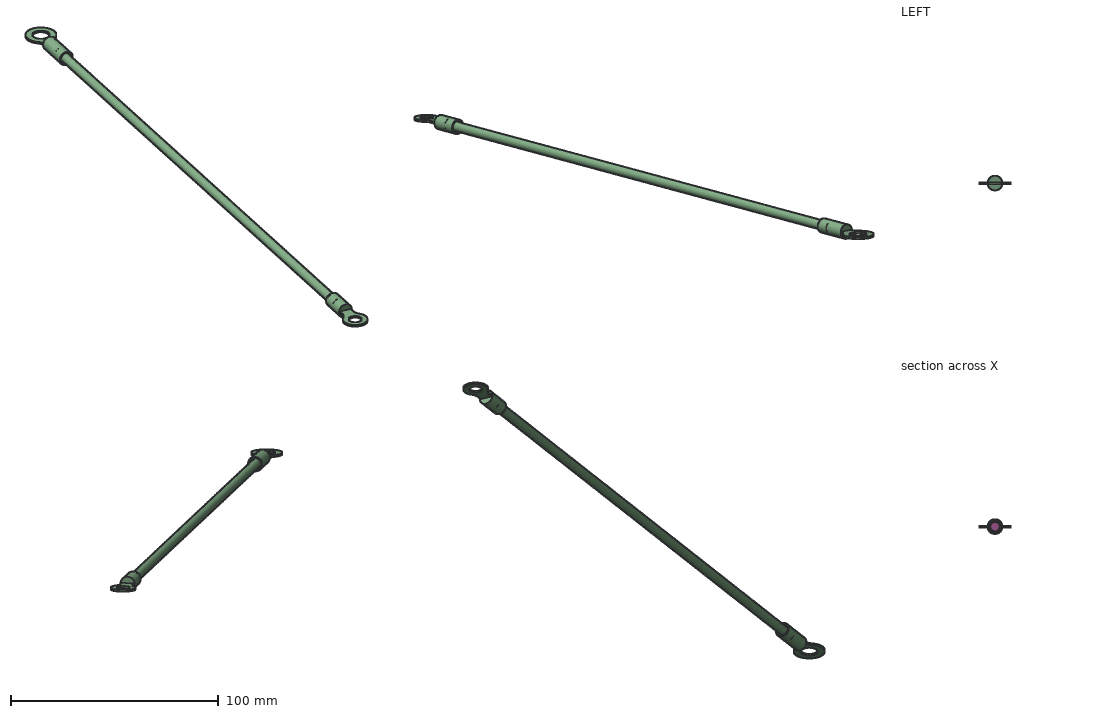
import cadquery as cq
import math

overall_length = 341.8
wire_diameter = 4.7

barrel_diameter = 7.2
bore_diameter = 6.0
bore_depth = 6.0
tongue_thickness = 1.0
neck_width = 6.0
neck_fillet = 4.5
neck_overlap = 2.0

large_ring_diameter = 15.0
large_hole_diameter = 8.4
large_tongue_length = 16.5
large_barrel_length = 17.5

small_ring_diameter = 12.0
small_hole_diameter = 6.4
small_tongue_length = 16.2
small_barrel_length = 13.4

left_end = -overall_length / 2
right_end = overall_length / 2
wire_start = left_end + large_tongue_length + large_barrel_length - bore_depth
wire_end = right_end - small_tongue_length - small_barrel_length + bore_depth


def rod(diameter, start, length):
    """Round rod along +X from the given X position."""
    return cq.Workplane("YZ", origin=(start, 0, 0)).circle(diameter / 2).extrude(length)


def tongue_plane(x):
    """Workplane on the underside of the flat tongue, centered at the given X position."""
    return cq.Workplane("XY", origin=(x, 0, -tongue_thickness / 2))


def ring_tongue(ring_diameter, hole_diameter, length):
    """Flat ring with its tip at X = 0 and a filleted neck reaching toward +X."""
    ring_radius = ring_diameter / 2
    neck_length = length - ring_radius
    neck_center = ring_radius + neck_length / 2
    ring = tongue_plane(ring_radius).circle(ring_radius).extrude(tongue_thickness)
    neck = tongue_plane(neck_center).rect(neck_length, neck_width).extrude(tongue_thickness)
    tongue = ring.union(neck)

    corner_x = ring_radius + math.sqrt(ring_radius**2 - (neck_width / 2) ** 2)
    for corner_y in (-neck_width / 2, neck_width / 2):
        corner = cq.selectors.NearestToPointSelector((corner_x, corner_y, 0))
        tongue = tongue.edges(corner).fillet(neck_fillet)

    hole = tongue_plane(ring_radius).circle(hole_diameter / 2).extrude(tongue_thickness)
    return tongue.cut(hole)


def ring_lug(ring_diameter, hole_diameter, tongue_length, barrel_length):
    """Ring lug with its tip at X = 0 and a barrel bored from its +X end."""
    tongue = ring_tongue(ring_diameter, hole_diameter, tongue_length + neck_overlap)
    barrel = rod(barrel_diameter, tongue_length, barrel_length)
    bore = rod(bore_diameter, tongue_length + barrel_length - bore_depth, bore_depth)
    return tongue.union(barrel).cut(bore)


large_lug = ring_lug(
    large_ring_diameter, large_hole_diameter, large_tongue_length, large_barrel_length
).translate((left_end, 0, 0))

small_lug = (
    ring_lug(small_ring_diameter, small_hole_diameter, small_tongue_length, small_barrel_length)
    .rotate((0, 0, 0), (0, 0, 1), 180)
    .translate((right_end, 0, 0))
)

wire = rod(wire_diameter, wire_start, wire_end - wire_start)

result = cq.Compound.makeCompound([large_lug.val(), wire.val(), small_lug.val()])